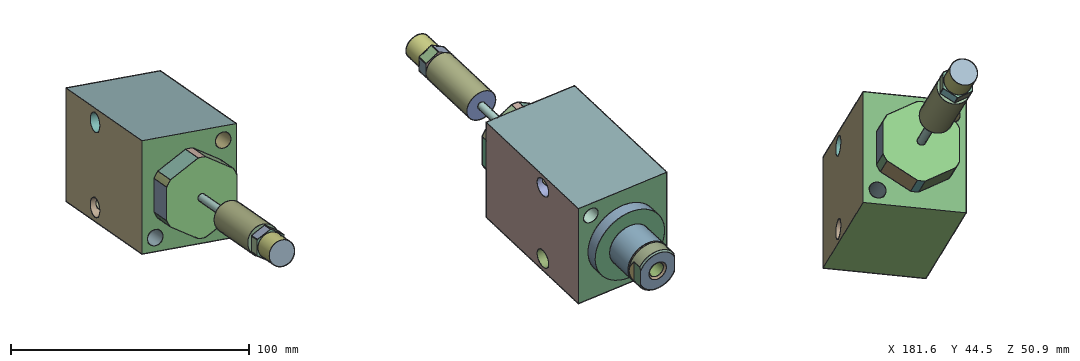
import cadquery as cq
import math

TIP_X = 0.0
SHOULDER_X = 6.7
FLANGE_X = 21.0
BODY_X = 26.5
GLAND_X = 96.5
CABLE_X = 108.0
SLEEVE_X = 133.5
NECK_X = 164.4
NUT_X = 165.8
PLUG_X = 171.3
END_X = 181.6

BODY_WIDTH = 44.5
BODY_HEIGHT = 50.9
CROSS_HOLE_X = 53.4
CROSS_HOLE_RADIUS = 4.4
MOUNT_HOLE_Y = 16.0
HOLE_Z = 19.0
MOUNT_HOLE_RADIUS = 3.6

SPINDLE_RADIUS = 10.2
TIP_RADIUS = 10.0
TIP_CHAMFER = 0.7
SHOULDER_LENGTH = 0.5
FLAT_HALF_WIDTH = 8.5
FLAT_LENGTH = 5.0
BORE_RADIUS = 3.5
BORE_MOUTH_RADIUS = 4.4
BORE_DEPTH = 9.0

FLANGE_RADIUS = 17.5
CABLE_RADIUS = 1.8
SLEEVE_RADIUS = 7.3
NECK_RADIUS = 4.4
PLUG_RADIUS = 6.0

GLAND_FLATS = 33.0
GLAND_CORNER_RADIUS = 18.2
NUT_FLATS = 12.7
NUT_CORNER_RADIUS = 7.3


def cylinder(start_x, end_x, radius, y=0, z=0):
    """Cylinder parallel to X."""
    return cq.Workplane(cq.Solid.makeCylinder(
        radius, end_x - start_x, cq.Vector(start_x, y, z), cq.Vector(1, 0, 0)))


def turned_hexagon(start_x, end_x, across_flats, corner_radius):
    """Hexagon with two flats facing +/-Y and its corners turned round."""
    corner_diameter = across_flats / math.cos(math.pi / 6)
    hexagon = (
        cq.Workplane("YZ", origin=(start_x, 0, 0))
        .transformed(rotate=(0, 0, 30))
        .polygon(6, corner_diameter)
        .extrude(end_x - start_x)
    )
    return hexagon.intersect(cylinder(start_x, end_x, corner_radius))


def make_body():
    body = cq.Workplane("XY").box(
        GLAND_X - BODY_X, BODY_WIDTH, BODY_HEIGHT
    ).translate(((BODY_X + GLAND_X) / 2, 0, 0))
    for side in (-1, 1):
        cross_hole = (
            cq.Workplane("XZ", origin=(CROSS_HOLE_X, 0, side * HOLE_Z))
            .circle(CROSS_HOLE_RADIUS)
            .extrude(BODY_WIDTH, both=True)
        )
        mount_hole = cylinder(BODY_X, GLAND_X, MOUNT_HOLE_RADIUS, side * MOUNT_HOLE_Y, side * HOLE_Z)
        body = body.cut(cross_hole).cut(mount_hole)
    return body


def make_spindle():
    """Revolve the spindle with its bore, then cut the two wrench flats."""
    mouth_depth = BORE_MOUTH_RADIUS - BORE_RADIUS
    spindle = (
        cq.Workplane("XY")
        .moveTo(TIP_X, BORE_MOUTH_RADIUS)
        .lineTo(TIP_X, TIP_RADIUS - TIP_CHAMFER)
        .lineTo(TIP_X + TIP_CHAMFER, TIP_RADIUS)
        .lineTo(SHOULDER_X, TIP_RADIUS)
        .lineTo(SHOULDER_X + SHOULDER_LENGTH, SPINDLE_RADIUS)
        .lineTo(FLANGE_X, SPINDLE_RADIUS)
        .lineTo(FLANGE_X, 0)
        .lineTo(TIP_X + BORE_DEPTH, 0)
        .lineTo(TIP_X + BORE_DEPTH, BORE_RADIUS)
        .lineTo(TIP_X + mouth_depth, BORE_RADIUS)
        .close()
        .revolve(360, (0, 0, 0), (1, 0, 0))
    )
    ramp = SPINDLE_RADIUS - FLAT_HALF_WIDTH
    flat_cut = (
        cq.Workplane("XY")
        .moveTo(TIP_X, FLAT_HALF_WIDTH)
        .lineTo(TIP_X + FLAT_LENGTH, FLAT_HALF_WIDTH)
        .lineTo(TIP_X + FLAT_LENGTH + ramp, SPINDLE_RADIUS)
        .lineTo(TIP_X, SPINDLE_RADIUS)
        .close()
        .extrude(SPINDLE_RADIUS, both=True)
    )
    return spindle.cut(flat_cut).cut(flat_cut.mirror("XZ"))


def make_cable_and_plug():
    cable = cylinder(CABLE_X, SLEEVE_X, CABLE_RADIUS)
    sleeve = cylinder(SLEEVE_X, NECK_X, SLEEVE_RADIUS)
    neck = cylinder(NECK_X, NUT_X, NECK_RADIUS)
    nut = turned_hexagon(NUT_X, PLUG_X, NUT_FLATS, NUT_CORNER_RADIUS)
    plug = cylinder(PLUG_X, END_X, PLUG_RADIUS)
    return cable.union(sleeve).union(neck).union(nut).union(plug)


flange = cylinder(FLANGE_X, BODY_X, FLANGE_RADIUS)
gland = turned_hexagon(GLAND_X, CABLE_X, GLAND_FLATS, GLAND_CORNER_RADIUS)

assembly = make_spindle().union(flange).union(make_body()).union(gland).union(make_cable_and_plug())

result = assembly.translate((-END_X / 2, 0, 0))